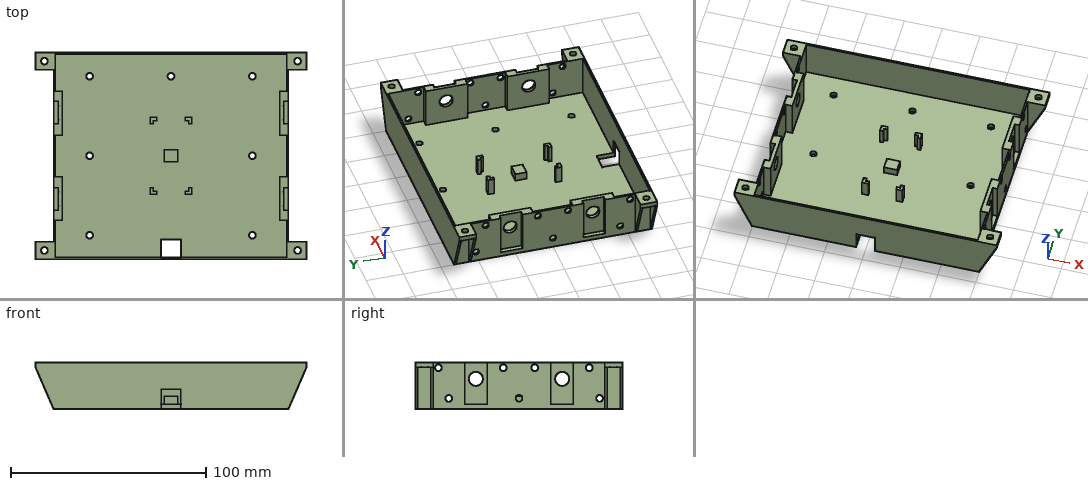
import cadquery as cq

overall_length = 138.8
tray_length = 120.2
tray_width = 106.0
tray_height = 24.0
wall = 1.0
floor = 2.5

ear_width = 9.0
ear_thickness = 2.5
ear_rib = 1.1
ear_reach = (overall_length - tray_length) / 2

pad_width = 22.4
pad_depth = 4.6
pad_offset = 21.8
recess_width = 11.5
recess_depth = 2.5
recess_offset = 22.1
recess_bottom = 2.5
large_hole_diameter = 7.1
large_hole_height = 15.5

small_hole_diameter = 3.3
floor_hole_x = 41.7
floor_hole_y = 40.7
upper_hole_height = 21.2
upper_hole_places = (36.0, 8.0, -8.0, -41.2)
lower_hole_height = 5.5
lower_hole_places = (41.2, 0, -36.0)

opening_width = 10.0
opening_depth = 10.0
opening_height = 10.3

block_length = 7.0
block_width = 6.0
block_height = 4.2
post_leg = 3.3
post_thickness = 1.7
post_height = 9.0
post_corner_x = 10.7
post_corner_y = 19.7

SIDES = (-1, 1)


def box(length, width, height, x, y, bottom):
    """Block centred on x, y with its underside at the given height."""
    base = cq.Workplane("XY", origin=(x, y, bottom))
    return base.box(length, width, height, centered=(True, True, False))


def make_tray():
    shell = box(tray_length, tray_width, tray_height, 0, 0, 0)
    cavity = box(tray_length - 2 * wall, tray_width - 2 * wall, tray_height, 0, 0, floor)
    return shell.cut(cavity)


def make_ear():
    """Ear at the +X +Y corner: a plate on two sloped ribs, with a hole through the plate."""
    wall_face = tray_length / 2
    tip = overall_length / 2
    plate_bottom = tray_height - ear_thickness
    root = wall_face - wall / 2
    outline = [(root, 0), (wall_face, 0), (tip, plate_bottom), (tip, tray_height), (root, tray_height)]
    ear_front = tray_width / 2 - ear_width
    profile = cq.Workplane("XZ", origin=(0, ear_front, 0)).polyline(outline).close()
    ear = profile.extrude(-ear_width)
    ear_y = ear_front + ear_width / 2
    between_ribs = box(ear_reach, ear_width - 2 * ear_rib, plate_bottom, wall_face + ear_reach / 2, ear_y, 0)
    hole = cq.Workplane("XY", origin=(wall_face + ear_reach / 2, ear_y, 0))
    hole = hole.circle(small_hole_diameter / 2).extrude(tray_height)
    return ear.cut(between_ribs).cut(hole)


def add_ears(body):
    right_back = make_ear()
    right_pair = right_back.union(right_back.mirror("XZ"))
    return body.union(right_pair).union(right_pair.mirror("YZ"))


def add_pads(body):
    pad_x = (tray_length - pad_depth) / 2
    recess_x = (tray_length - recess_depth) / 2
    for side_x in SIDES:
        for side_y in SIDES:
            pad = box(pad_depth, pad_width, tray_height, side_x * pad_x, side_y * pad_offset, 0)
            recess = box(
                recess_depth, recess_width, tray_height,
                side_x * recess_x, side_y * recess_offset, recess_bottom,
            )
            body = body.union(pad).cut(recess)
    return body


def cut_end_wall_holes(body):
    """Holes along X, each passing through both end walls."""

    def drills(places, diameter):
        start = cq.Workplane("YZ", origin=(-overall_length / 2, 0, 0))
        return start.pushPoints(places).circle(diameter / 2).extrude(overall_length)

    small = [(y, upper_hole_height) for y in upper_hole_places]
    small += [(y, lower_hole_height) for y in lower_hole_places]
    large = [(side * recess_offset, large_hole_height) for side in SIDES]
    body = body.cut(drills(small, small_hole_diameter))
    return body.cut(drills(large, large_hole_diameter))


def cut_floor_holes(body):
    """Eight-place border pattern, without the place taken by the front opening."""
    places = [(side * floor_hole_x, y) for side in SIDES for y in (-floor_hole_y, 0, floor_hole_y)]
    places.append((0, floor_hole_y))
    drills = cq.Workplane("XY").pushPoints(places).circle(small_hole_diameter / 2).extrude(floor)
    return body.cut(drills)


def cut_front_opening(body):
    opening_y = (opening_depth - tray_width) / 2
    return body.cut(box(opening_width, opening_depth, opening_height, 0, opening_y, 0))


def make_post():
    """L-shaped post at +X +Y, with its outer corner away from the centre."""
    x = post_corner_x
    y = post_corner_y
    outline = [
        (x, y),
        (x - post_leg, y),
        (x - post_leg, y - post_thickness),
        (x - post_thickness, y - post_thickness),
        (x - post_thickness, y - post_leg),
        (x, y - post_leg),
    ]
    return cq.Workplane("XY").polyline(outline).close().extrude(floor + post_height)


def add_posts(body):
    post = make_post()
    back_pair = post.union(post.mirror("YZ"))
    front_pair = back_pair.mirror("XZ")
    return body.union(back_pair).union(front_pair)


result = make_tray()
result = add_ears(result)
result = add_pads(result)
result = cut_end_wall_holes(result)
result = cut_floor_holes(result)
result = cut_front_opening(result)
result = add_posts(result)
result = result.union(box(block_length, block_width, floor + block_height, 0, 0, 0))